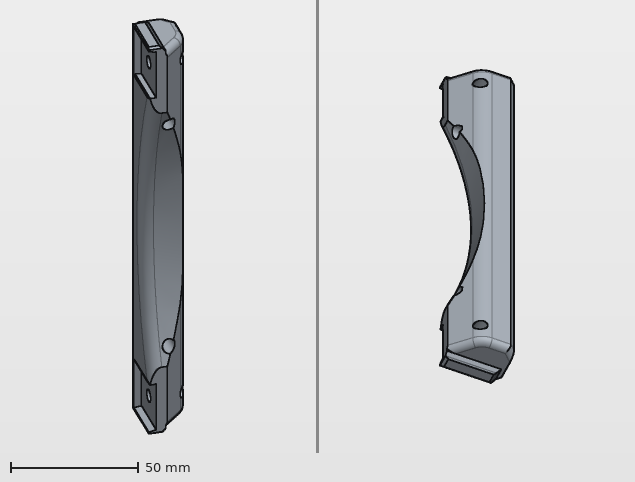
import cadquery as cq
import math

LENGTH = 174.2
WIDTH = 25.0
DEPTH = 18.0

BEYOND_X = 2 * WIDTH
BEYOND_Y = 2 * DEPTH

LIP_RISE = 2.0
BAR_LENGTH = LENGTH - 2 * LIP_RISE
FRONT_CHAMFER = 3.1
BACK_CHAMFER = 2.5
BACK_ARC_START = 10.6
BACK_ARC_RADIUS = 10.0
BACK_SLOPE_ANGLE = math.radians(45)
END_FILLET = 3.0

SCOOP_FLOOR_X = 13.6
SCOOP_RADIUS = 148.6
SCOOP_FLARE = 5.2

LIP_LEFT = 1.7
LIP_DEPTH = 7.0
LIP_LOWER_RUN = 1.4
LIP_UPPER_RUN = 0.9
LIP_UPPER_RISE = 0.5
LIP_FRONT_CHAMFER = 0.5
LIP_END_DROP = 0.5
LIP_END_RUN = 1.5

POCKET_LEFT = 4.4
POCKET_TOP = LENGTH / 2 - 1.2
POCKET_BOTTOM = 64.6
POCKET_EDGE_CHAMFER = 0.5
POCKET_DEPTH = 3.0
POCKET_TAPER = 0.7

FRONT_HOLE_DIAMETER = 5.2
FRONT_HOLE_X = 15.0
FRONT_HOLE_Z = 75.3
SIDE_HOLE_DIAMETER = 5.5
SIDE_HOLE_Y = 9.2
SIDE_HOLE_Z = 50.0


def arc_point(angle):
    """Point on the back rounding, measured from where it leaves the flat back."""
    x = BACK_ARC_START + BACK_ARC_RADIUS * math.sin(angle)
    y = DEPTH - BACK_ARC_RADIUS * (1 - math.cos(angle))
    return (x, y)


SLOPE_START = arc_point(BACK_SLOPE_ANGLE)
SLOPE_END_Y = SLOPE_START[1] - (WIDTH - SLOPE_START[0]) * math.tan(BACK_SLOPE_ANGLE)


def make_prism(length):
    """Bar section extruded along Z, centred on the XY plane."""
    return (
        cq.Workplane("XY")
        .workplane(offset=-length / 2)
        .moveTo(FRONT_CHAMFER, 0)
        .lineTo(WIDTH, 0)
        .lineTo(WIDTH, SLOPE_END_Y)
        .lineTo(*SLOPE_START)
        .threePointArc(arc_point(BACK_SLOPE_ANGLE / 2), (BACK_ARC_START, DEPTH))
        .lineTo(BACK_CHAMFER, DEPTH)
        .lineTo(0, DEPTH - BACK_CHAMFER)
        .lineTo(0, FRONT_CHAMFER)
        .close()
        .extrude(length)
    )


def make_bar():
    """Bar with its end edges rounded along the back."""
    bar = make_prism(BAR_LENGTH)
    back_edges = cq.selectors.BoxSelector(
        (0, SLOPE_END_Y, -LENGTH), (WIDTH, BEYOND_Y, LENGTH)
    )
    end_edges = bar.faces("<Z or >Z").edges(back_edges).edges("not <X")
    return end_edges.fillet(END_FILLET)


def make_lip():
    """Lip on the top end of the bar, flush with its front and +X faces."""
    lower_rise = LIP_RISE - LIP_UPPER_RISE
    outline = (
        cq.Workplane("XY")
        .workplane(offset=BAR_LENGTH / 2 - END_FILLET)
        .moveTo(LIP_LEFT, LIP_DEPTH)
        .lineTo(BEYOND_X, LIP_DEPTH)
        .lineTo(BEYOND_X, -BEYOND_Y)
        .lineTo(LIP_LEFT, -BEYOND_Y)
        .close()
    )
    lip = (
        outline.extrude(END_FILLET)
        .faces(">Z").wires().toPending()
        .extrude(lower_rise, taper=math.degrees(math.atan2(LIP_LOWER_RUN, lower_rise)))
        .faces(">Z").wires().toPending()
        .extrude(LIP_UPPER_RISE, taper=math.degrees(math.atan2(LIP_UPPER_RUN, LIP_UPPER_RISE)))
    )
    lip = lip.intersect(make_prism(LENGTH))
    lip = lip.faces(">Z").edges(">X").chamfer(LIP_END_DROP, LIP_END_RUN)
    return lip.faces(">Z").edges("<Y").chamfer(LIP_FRONT_CHAMFER)


def make_pocket():
    """Cutter for the top pocket: top and left walls taper in, bottom wall is a flat ledge."""
    rim_bottom = POCKET_BOTTOM - POCKET_EDGE_CHAMFER
    tapered = (
        cq.Workplane("XZ")
        .moveTo(POCKET_LEFT, 0)
        .lineTo(BEYOND_X, 0)
        .lineTo(BEYOND_X, POCKET_TOP)
        .lineTo(POCKET_LEFT, POCKET_TOP)
        .close()
        .extrude(-POCKET_DEPTH, taper=math.degrees(math.atan2(POCKET_TAPER, POCKET_DEPTH)))
    )
    ledge_block = (
        cq.Workplane("YZ")
        .moveTo(0, rim_bottom)
        .lineTo(POCKET_EDGE_CHAMFER, POCKET_BOTTOM)
        .lineTo(POCKET_DEPTH, POCKET_BOTTOM)
        .lineTo(POCKET_DEPTH, POCKET_TOP)
        .lineTo(0, POCKET_TOP)
        .close()
        .extrude(BEYOND_X)
    )
    return tapered.intersect(ledge_block)


def make_scoop():
    """Turned cutter about a Y-parallel axis, with a quarter-round flare at the front."""
    rim = SCOOP_RADIUS + SCOOP_FLARE
    bend = SCOOP_FLARE * (1 - math.sqrt(0.5))
    profile = (
        cq.Workplane("XY")
        .lineTo(rim, 0)
        .threePointArc((SCOOP_RADIUS + bend, bend), (SCOOP_RADIUS, SCOOP_FLARE))
        .lineTo(SCOOP_RADIUS, BEYOND_Y)
        .lineTo(0, BEYOND_Y)
        .close()
    )
    return profile.revolve(360, (0, 0), (0, 1)).translate((SCOOP_FLOOR_X + SCOOP_RADIUS, 0, 0))


def make_front_hole():
    return (
        cq.Workplane("XZ")
        .center(FRONT_HOLE_X, FRONT_HOLE_Z)
        .circle(FRONT_HOLE_DIAMETER / 2)
        .extrude(-BEYOND_Y)
    )


def make_side_hole():
    return (
        cq.Workplane("YZ")
        .center(SIDE_HOLE_Y, SIDE_HOLE_Z)
        .circle(SIDE_HOLE_DIAMETER / 2)
        .extrude(BEYOND_X)
    )


def both_ends(shape):
    """The shape at the top end together with its mirror image at the bottom end."""
    return shape.union(shape.mirror("XY"))


result = make_bar().union(both_ends(make_lip()))
result = result.cut(make_scoop())
for cutter in (make_pocket(), make_front_hole(), make_side_hole()):
    result = result.cut(both_ends(cutter))

result = cq.Workplane(result.solids().val())